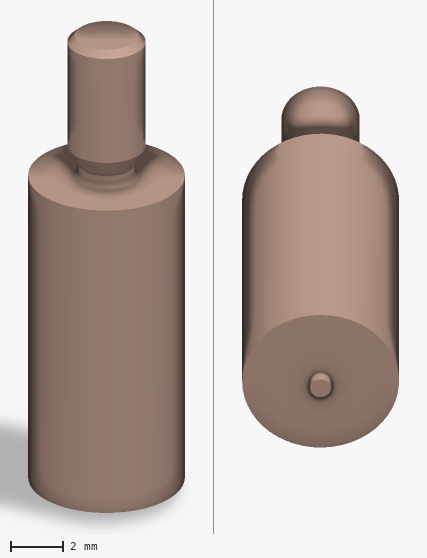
import cadquery as cq

total_length = 19.5
body_diameter = 6.0
stud_diameter = 3.0
stud_length = 6.0
neck_diameter = 2.2
pin_diameter = 0.8
pin_length = 0.5

neck_fillet = 0.23
neck_height = 0.53
shoulder_height = 1.29
tip_bevel_width = 0.3
tip_bevel_height = 0.25

tip_z = total_length - pin_length
body_top_z = tip_z - stud_length

body_radius = body_diameter / 2
stud_radius = stud_diameter / 2
neck_radius = neck_diameter / 2
pin_radius = pin_diameter / 2

fillet_centre_x = neck_radius + neck_fillet
fillet_top_z = body_top_z + neck_fillet

profile = (
    cq.Workplane("XZ")
    .moveTo(0, -pin_length)
    .lineTo(pin_radius, -pin_length)
    .lineTo(pin_radius, 0)
    .lineTo(body_radius, 0)
    .lineTo(body_radius, body_top_z)
    .lineTo(fillet_centre_x, body_top_z)
    .radiusArc((neck_radius, fillet_top_z), neck_fillet)
    .lineTo(neck_radius, body_top_z + neck_height)
    .lineTo(stud_radius, body_top_z + shoulder_height)
    .lineTo(stud_radius, tip_z - tip_bevel_height)
    .lineTo(stud_radius - tip_bevel_width, tip_z)
    .lineTo(0, tip_z)
    .close()
)

result = profile.revolve(360, (0, 0, 0), (0, 1, 0))